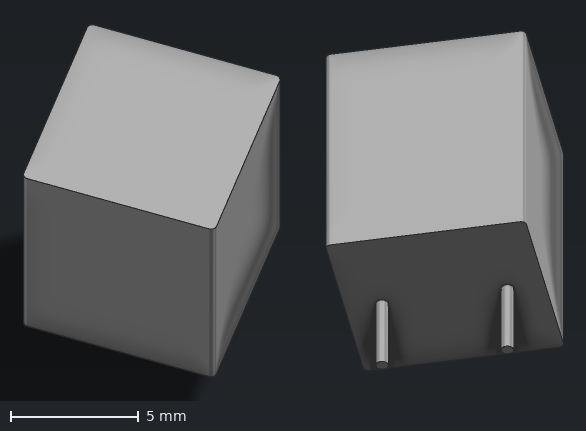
import cadquery as cq

total_height = 12.7
body_side = 8.0
body_height = 9.6
corner_radius = 0.23

pin_diameter = 0.5
pin_spacing = 5.0
pin_length = total_height - body_height

body = (
    cq.Workplane("XY")
    .rect(body_side, body_side)
    .extrude(body_height)
    .edges("|Z")
    .fillet(corner_radius)
)

pins = (
    cq.Workplane("XY")
    .pushPoints([(-pin_spacing / 2, 0), (pin_spacing / 2, 0)])
    .circle(pin_diameter / 2)
    .extrude(-pin_length)
)

result = body.union(pins)